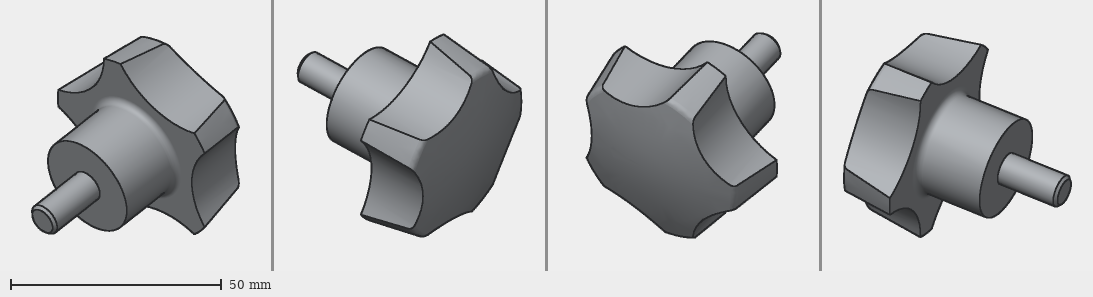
import cadquery as cq
import math


LOBES = 5
HEAD_HEIGHT = 17.45
BASE_RADIUS = 25.05
SHOULDER_RADIUS = 22.55
SHOULDER_HEIGHT = 14.25
SHOULDER_FILLET = 1.75
EDGE_MARGIN = 0.5

SCALLOP_DEPTH_RADIUS = 17.65
SCALLOP_RADIUS = 20.65
SCALLOP_OFFSET = SCALLOP_DEPTH_RADIUS + SCALLOP_RADIUS

COLLAR_RADIUS = 12.55
COLLAR_LENGTH = 17.45
COLLAR_FILLET = 1.75
STUD_RADIUS = 4.0
STUD_CHAMFER = 0.75
OVERALL_LENGTH = 50.85
STUD_LENGTH = OVERALL_LENGTH - HEAD_HEIGHT - COLLAR_LENGTH


def revolve_about_y(profile):
    return profile.close().revolve(360, (0, 0, 0), (0, 1, 0))


def domed_head():
    """Tapered disc with a spherical dome and a rounded shoulder."""
    dome_rise = HEAD_HEIGHT - SHOULDER_HEIGHT
    dome_radius = (SHOULDER_RADIUS**2 + dome_rise**2) / (2 * dome_rise)
    mid_radius = SHOULDER_RADIUS / 2
    dome_centre = HEAD_HEIGHT - dome_radius
    mid_height = dome_centre + math.sqrt(dome_radius**2 - mid_radius**2)
    profile = (
        cq.Workplane("XY")
        .lineTo(BASE_RADIUS, 0)
        .lineTo(SHOULDER_RADIUS, SHOULDER_HEIGHT)
        .threePointArc((mid_radius, mid_height), (0, HEAD_HEIGHT))
    )
    shoulder = cq.selectors.BoxSelector(
        (-BASE_RADIUS, SHOULDER_HEIGHT - EDGE_MARGIN, -BASE_RADIUS),
        (BASE_RADIUS, SHOULDER_HEIGHT + EDGE_MARGIN, BASE_RADIUS),
    )
    return revolve_about_y(profile).edges(shoulder).fillet(SHOULDER_FILLET)


def scallops():
    """Cylindrical cutters parallel to Y, the first one on +X."""
    return (
        cq.Workplane("XZ")
        .polarArray(SCALLOP_OFFSET, 0, 360, LOBES)
        .circle(SCALLOP_RADIUS)
        .extrude(-HEAD_HEIGHT)
    )


def collar():
    """Cylinder that flares into the flat face through a concave fillet."""
    flare_centre = COLLAR_RADIUS + COLLAR_FILLET
    flare_reach = COLLAR_FILLET * math.sqrt(0.5)
    profile = (
        cq.Workplane("XY")
        .lineTo(flare_centre, 0)
        .threePointArc(
            (flare_centre - flare_reach, flare_reach - COLLAR_FILLET),
            (COLLAR_RADIUS, -COLLAR_FILLET),
        )
        .lineTo(COLLAR_RADIUS, -COLLAR_LENGTH)
        .lineTo(0, -COLLAR_LENGTH)
    )
    return revolve_about_y(profile)


def stud():
    return (
        cq.Workplane("XZ", origin=(0, -COLLAR_LENGTH, 0))
        .circle(STUD_RADIUS)
        .extrude(STUD_LENGTH)
        .faces("<Y")
        .chamfer(STUD_CHAMFER)
    )


result = domed_head().cut(scallops()).union(collar()).union(stud())